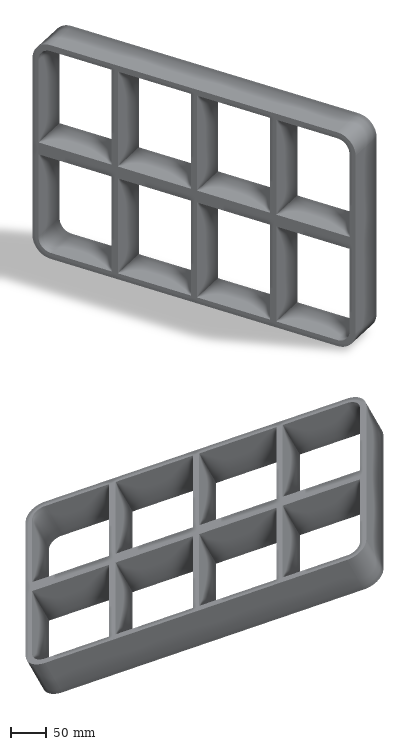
import cadquery as cq

LENGTH = 532.0
DEPTH = 60.0
HEIGHT = 359.0

WALL = 10.0
DIVIDER = 10.0
MIDDLE_RAIL = 20.0
OUTER_RADIUS = 30.0
INNER_RADIUS = OUTER_RADIUS - WALL

COLUMNS = 4
ROWS = 2
INNER_LENGTH = LENGTH - 2 * WALL
INNER_HEIGHT = HEIGHT - 2 * WALL
WINDOW_WIDTH = (INNER_LENGTH - (COLUMNS - 1) * DIVIDER) / COLUMNS
WINDOW_HEIGHT = (INNER_HEIGHT - (ROWS - 1) * MIDDLE_RAIL) / ROWS


def rounded_block(length, height, radius):
    """Block centred on the origin, with its four edges along Y rounded."""
    return cq.Workplane("XY").box(length, DEPTH, height).edges("|Y").fillet(radius)


def outer_ring():
    """Rounded frame of constant wall thickness, open front to back."""
    outside = rounded_block(LENGTH, HEIGHT, OUTER_RADIUS)
    opening = rounded_block(INNER_LENGTH, INNER_HEIGHT, INNER_RADIUS)
    return outside.cut(opening)


def bars():
    """Upright dividers and horizontal rails, reaching halfway into the ring walls."""
    bar_length = INNER_LENGTH + WALL
    bar_height = INNER_HEIGHT + WALL
    grid = cq.Workplane("XY")
    for gap in range(1, COLUMNS):
        x = (gap - COLUMNS / 2) * (WINDOW_WIDTH + DIVIDER)
        grid = grid.union(cq.Workplane("XY").box(DIVIDER, DEPTH, bar_height).translate((x, 0, 0)))
    for gap in range(1, ROWS):
        z = (gap - ROWS / 2) * (WINDOW_HEIGHT + MIDDLE_RAIL)
        grid = grid.union(cq.Workplane("XY").box(bar_length, DEPTH, MIDDLE_RAIL).translate((0, 0, z)))
    return grid


result = outer_ring().union(bars()).clean()